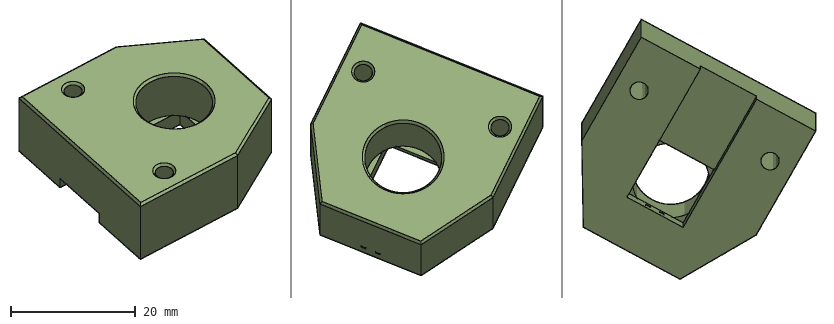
import cadquery as cq
import math

side = 32.0
height = 12.0
edge_chamfer = 0.4
back_edge = 17.75
corner_angle = 60.0

bore_diameter = 12.3
bore_y = 3.1
window_side = 10.3

channel_depth = 2.0
ledge_thickness = 1.0

screw_diameter = 2.9
screw_spacing = 24.0
screw_y = -8.1

wire_width = 0.8
wire_height = 0.3
wire_spacing = 2.5

half = side / 2
window_back_y = bore_y + window_side / 2
bore_floor = channel_depth + ledge_thickness


def make_block():
    """Square block with two cut back corners and a chamfered top rim."""
    half_back = back_edge / 2
    corner_y = half - (half - half_back) * math.tan(math.radians(corner_angle))
    outline = [
        (-half, -half),
        (half, -half),
        (half, corner_y),
        (half_back, half),
        (-half_back, half),
        (-half, corner_y),
    ]
    block = cq.Workplane("XY").polyline(outline).close().extrude(height)
    return block.faces(">Z").edges().chamfer(edge_chamfer)


def box_between(width, x_centre, y_range, z_range):
    """Box of a given X width spanning the given Y and Z ranges."""
    y_start, y_end = y_range
    z_start, z_end = z_range
    box = cq.Workplane("XY").box(width, y_end - y_start, z_end - z_start, centered=(True, False, False))
    return box.translate((x_centre, y_start, z_start))


def chamfered_hole(diameter, x, y, floor):
    """Round cutter from the floor up to the top face, flared at the mouth."""
    radius = diameter / 2
    profile = [
        (0, floor),
        (radius, floor),
        (radius, height - edge_chamfer),
        (radius + edge_chamfer, height),
        (0, height),
    ]
    cutter = cq.Workplane("XZ").polyline(profile).close().revolve(360, (0, 0), (0, 1))
    return cutter.translate((x, y, 0))


def cut_opening(part):
    """Bore down to the ledge, then the square window through the ledge."""
    window_range = (window_back_y - window_side, window_back_y)
    part = part.cut(chamfered_hole(bore_diameter, 0, bore_y, bore_floor))
    return part.cut(box_between(window_side, 0, window_range, (0, bore_floor)))


def cut_channel(part):
    """Underside channel, as wide as the window and open at the front."""
    return part.cut(box_between(window_side, 0, (-half, window_back_y), (0, channel_depth)))


def cut_screw_holes(part):
    for direction in (-1, 1):
        part = part.cut(chamfered_hole(screw_diameter, direction * screw_spacing / 2, screw_y, 0))
    return part


def cut_wire_passages(part):
    """Two small passages through the back wall, level with the channel roof."""
    z_range = (channel_depth - wire_height, channel_depth)
    for direction in (-1, 1):
        x = direction * wire_spacing / 2
        part = part.cut(box_between(wire_width, x, (window_back_y, half), z_range))
    return part


result = make_block()
result = cut_opening(result)
result = cut_channel(result)
result = cut_screw_holes(result)
result = cut_wire_passages(result)